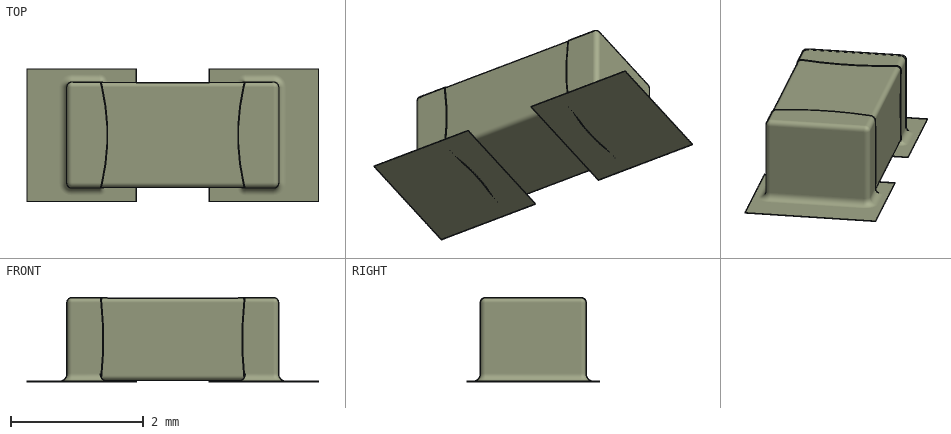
import cadquery as cq

total_length = 4.4
pad_length = 1.65
pad_width = 2.0
pad_thickness = 0.01
chip_length = 3.2
chip_width = 1.6
total_height = 1.27
chip_height = total_height - pad_thickness

edge_radius = 0.08
plating = 0.01
end_wall = 0.045
rim_step_height = 0.0065
rim_step_length = 0.015
solder_radius = 0.11
foot_margin = 0.005
solder_end_radius = 0.005
cap_length = 0.505
top_bulge = 0.1
clearance = 0.045
side_bulge = 0.04

chip_end = -chip_length / 2
rim_x = chip_end + cap_length
chip_middle_z = pad_thickness + chip_height / 2


def cap_block(inset):
    """Chip envelope shrunk by inset, rounded except along its foot, where solder meets it."""
    return (
        cq.Workplane("XY")
        .box(chip_length - 2 * inset, chip_width - 2 * inset, chip_height - 2 * inset)
        .edges("|Z or >Z")
        .fillet(edge_radius - inset)
        .translate((0, 0, chip_middle_z))
    )


def bulged_prism(plane, span, bulge, depth):
    """Prism from beyond the chip end to the rim, whose inner face is an arc."""
    half = span / 2
    return (
        cq.Workplane(plane)
        .moveTo(-total_length / 2, -half - clearance)
        .lineTo(rim_x, -half - clearance)
        .lineTo(rim_x, -half)
        .threePointArc((rim_x + bulge, 0), (rim_x, half))
        .lineTo(rim_x, half + clearance)
        .lineTo(-total_length / 2, half + clearance)
        .close()
        .extrude(depth / 2 + clearance, both=True)
        .translate((0, 0, chip_middle_z))
    )


def cap_region():
    """Space occupied by the left cap: arched on all four long faces of the chip."""
    arched_top = bulged_prism("XY", chip_width, top_bulge, chip_height)
    arched_sides = bulged_prism("XZ", chip_height, side_bulge, chip_width)
    return arched_top.union(arched_sides)


def make_ceramic():
    """Rounded bar that stops short of the chip ends, inside the caps."""
    return (
        cq.Workplane("XY")
        .box(chip_length - 2 * end_wall, chip_width - 2 * plating, chip_height - 2 * plating)
        .edges()
        .fillet(edge_radius - plating)
        .translate((0, 0, chip_middle_z))
    )


def make_cap():
    """Plating over the chip end; the inner layer reaches further to form the rim step."""
    region = cap_region()
    inner_region = region.translate((rim_step_length, 0, 0))
    outer_layer = cap_block(0).intersect(region)
    inner_layer = cap_block(rim_step_height).intersect(inner_region)
    return outer_layer.union(inner_layer)


def make_pad_with_solder():
    """Thin pad with a concave solder fillet around the foot of the cap."""
    pad = cq.Workplane("XY").box(
        pad_length, pad_width, pad_thickness, centered=(False, True, False)
    ).translate((-total_length / 2, 0, 0))
    foot = (
        cq.Workplane("XY")
        .box(cap_length, chip_width, pad_thickness + solder_radius + foot_margin,
             centered=(False, True, False))
        .edges("|Z and <X").fillet(edge_radius)
        .edges("|Z and >X").fillet(solder_end_radius)
        .translate((chip_end, 0, 0))
    )
    soldered = pad.union(foot)
    joint = cq.selectors.BoxSelector(
        (chip_end - clearance, -chip_width / 2 - clearance, pad_thickness / 2),
        (rim_x + clearance, chip_width / 2 + clearance, pad_thickness * 2),
    )
    return soldered.edges(joint).fillet(solder_radius)


def make_terminal(ceramic):
    return make_pad_with_solder().union(make_cap()).cut(ceramic)


ceramic = make_ceramic()
left_terminal = make_terminal(ceramic)
terminals = [left_terminal.rotate((0, 0, 0), (0, 0, 1), angle) for angle in (0, 180)]

result = cq.Compound.makeCompound(
    [ceramic.val(), *[terminal.solids().val() for terminal in terminals]]
)